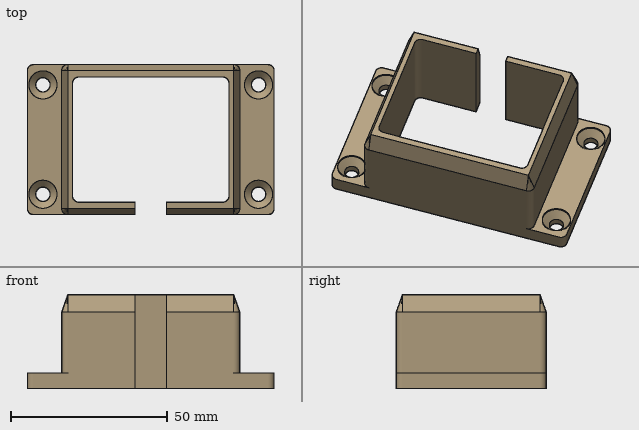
import cadquery as cq

base_length = 79.0
depth = 48.0
base_thickness = 5.0
corner_radius = 2.0

total_height = 30.0
frame_length = 57.0
cavity_length = 50.0
cavity_depth = 40.0
bevel_height = 5.6
bevel_start = total_height - bevel_height

slot_width = 9.95

hole_spacing_x = 69.0
hole_spacing_y = 35.0
hole_diameter = 4.5
sink_diameter = 9.0
sink_recess = 0.5
cone_depth = (sink_diameter - hole_diameter) / 2


def rounded_block(length, width, height):
    return (
        cq.Workplane("XY")
        .rect(length, width)
        .extrude(height)
        .edges("|Z")
        .fillet(corner_radius)
    )


def bevelled_prism(plane, bottom_width, length):
    """Trapezoid that narrows by the corner radius on each side."""
    half_bottom = bottom_width / 2
    half_top = half_bottom - corner_radius
    return (
        cq.Workplane(plane)
        .polyline([
            (-half_bottom, bevel_start),
            (half_bottom, bevel_start),
            (half_top, total_height),
            (-half_top, total_height),
        ])
        .close()
        .extrude(length / 2, both=True)
    )


def bevelled_top():
    """Sloped top whose rounded corners run up to points as cones."""
    top_length = frame_length - 2 * corner_radius
    top_depth = depth - 2 * corner_radius
    corner_cone = cq.Solid.makeCone(corner_radius, 0, bevel_height)
    corner_cones = (
        cq.Workplane("XY", origin=(0, 0, bevel_start))
        .rect(top_length, top_depth, forConstruction=True)
        .vertices()
        .eachpoint(lambda place: corner_cone.located(place), combine=False)
    )
    return (
        bevelled_prism("XZ", frame_length, top_depth)
        .union(bevelled_prism("YZ", depth, top_length))
        .union(corner_cones)
    )


def screw_holes():
    hole_radius = hole_diameter / 2
    sink_radius = sink_diameter / 2
    recess_bottom = base_thickness - sink_recess
    cutter = (
        cq.Workplane("XZ")
        .polyline([
            (0, 0),
            (hole_radius, 0),
            (hole_radius, recess_bottom - cone_depth),
            (sink_radius, recess_bottom),
            (sink_radius, base_thickness),
            (0, base_thickness),
        ])
        .close()
        .revolve(360, (0, 0), (0, 1))
        .val()
    )
    return (
        cq.Workplane("XY")
        .rect(hole_spacing_x, hole_spacing_y, forConstruction=True)
        .vertices()
        .eachpoint(lambda place: cutter.located(place), combine=False)
    )


base = rounded_block(base_length, depth, base_thickness)
frame = rounded_block(frame_length, depth, bevel_start).union(bevelled_top())
cavity = rounded_block(cavity_length, cavity_depth, total_height)

slot = cq.Workplane("XY").box(
    slot_width, depth / 2, total_height, centered=(True, False, False)
).translate((0, -depth / 2, 0))

result = base.union(frame).cut(cavity).cut(slot).cut(screw_holes())